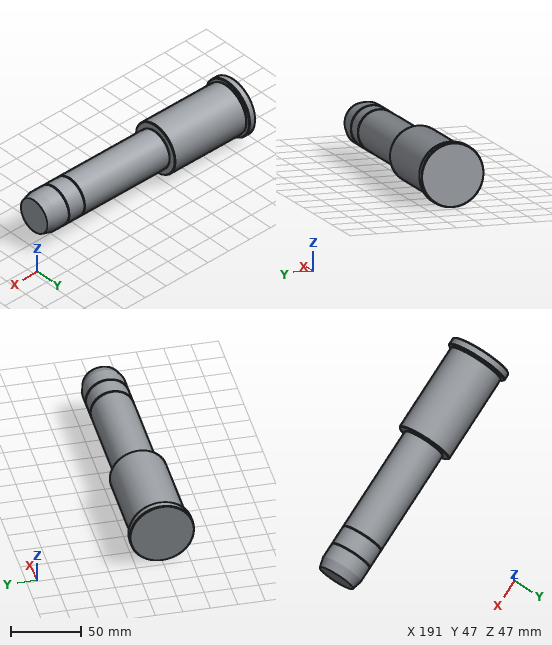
import cadquery as cq
import math

total_length = 191.0
head_diameter = 47.0
body_diameter = 42.0
shaft_diameter = 32.0

head_length = 6.0
head_chamfer = 0.5

body_end = 75.0
body_end_chamfer = 0.5
body_root_bevel_length = 1.1
body_root_bevel_depth = 0.4

groove_width = 0.5
groove_depth = 0.4
groove_starts = (body_end, 156.6, 171.5)
tip_length = 7.5
tip_angle = 15.0

head_radius = head_diameter / 2
body_radius = body_diameter / 2
shaft_radius = shaft_diameter / 2


def cylinder(start, end, radius):
    """Solid cylinder on the X axis between two X positions."""
    return cq.Workplane("YZ", origin=(start, 0, 0)).circle(radius).extrude(end - start)


def cut_shaft_groove(part, start):
    """Cut a narrow square groove around the shaft, beginning at an X position."""
    end = start + groove_width
    core = cylinder(start, end, shaft_radius - groove_depth)
    return part.cut(cylinder(start, end, shaft_radius).cut(core))


def make_head():
    """Flange with both rims chamfered."""
    return cylinder(0, head_length, head_radius).edges().chamfer(head_chamfer)


def make_body():
    """Body with a shallow bevel next to the head and a chamfer at its free end."""
    body = cylinder(head_length, body_end, body_radius)
    body = body.faces(">X").chamfer(body_end_chamfer)
    return body.faces("<X").chamfer(body_root_bevel_length, body_root_bevel_depth)


def make_shaft():
    """Grooved shaft tapering to a conical tip."""
    tip_drop = tip_length * math.tan(math.radians(tip_angle))
    shaft = cylinder(body_end, total_length, shaft_radius)
    shaft = shaft.faces(">X").chamfer(tip_length, tip_drop)
    for start in groove_starts:
        shaft = cut_shaft_groove(shaft, start)
    return shaft


result = make_head().union(make_body()).union(make_shaft())